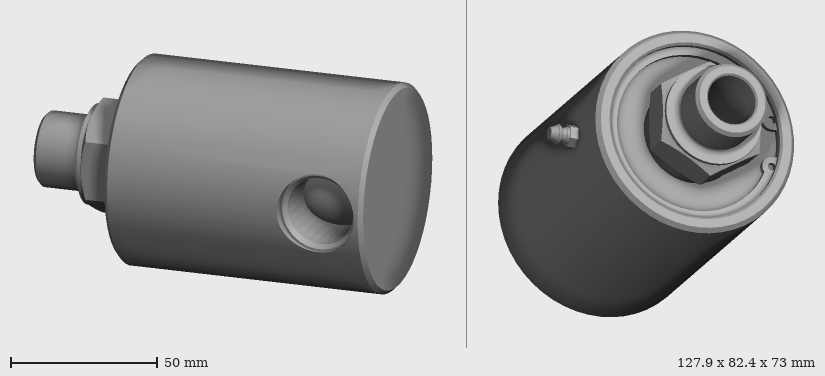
import cadquery as cq
import math

total_length = 127.9
body_start = 33.9
body_diameter = 73.0
body_chamfer = 1.5

recess_diameter = 62.1
recess_mouth_diameter = 63.7
recess_depth = 4.5

ring_thickness = 2.0
ring_inner_diameter = 56.3
ring_groove_diameter = 66.9
ear_radius = 3.5
ear_hole_diameter = 2.79
ear_center_y = -28.7
ear_center_z = 8.47

thread_diameter = 26.44
thread_end = 14.8
thread_chamfer = 1.2
neck_cone_length = 0.75
collar_start = 17.4
collar_diameter = 34.9
shank_diameter = 35.0
hex_start = 19.0
hex_end = 32.6
hex_across_flats = 36.0
hex_chamfer_angle = 30.0
bore_diameter = 17.5
bore_mouth_diameter = 18.8
bore_mouth_depth = 0.65

port_x = 111.0
port_spotface_diameter = 28.0
port_spotface_depth = 3.8
port_mouth_diameter = 26.44
port_thread_diameter = 23.8
port_mouth_depth = 1.6
port_end_diameter = 22.63
rotor_diameter = 32.0

nipple_x = 54.7
nipple_reach = 45.88
nipple_hex_across_flats = 6.9
nipple_hex_top = 39.3
nipple_seat_depth = 1.5
nipple_collar_diameter = 6.0
nipple_collar_top = 40.1
nipple_neck_diameter = 5.0
nipple_neck_end_diameter = 5.8
nipple_neck_top = 42.1
nipple_head_lower_y = 42.35
nipple_head_diameter = 7.1
nipple_head_y = 42.85
nipple_cone_diameter = 6.33
nipple_cone_start = 43.35
nipple_tip_diameter = 4.3

body_radius = body_diameter / 2
cover_x = body_start + recess_depth
ring_x = cover_x - ring_thickness


def disc(diameter, start, end):
    """Cylinder on the X axis between two stations."""
    return cq.Workplane("YZ").workplane(offset=start).circle(diameter / 2).extrude(end - start)


def cone(start_diameter, end_diameter, start, end):
    """Frustum on the X axis between two stations."""
    outline = [(start, 0), (start, start_diameter / 2), (end, end_diameter / 2), (end, 0)]
    return cq.Workplane("XY").polyline(outline).close().revolve(360, (0, 0, 0), (1, 0, 0))


def hexagon(plane, across_flats, length):
    """Hexagonal prism with two corners on the local x axis of its plane."""
    corner_diameter = across_flats / math.cos(math.pi / 6)
    return cq.Workplane(plane).polygon(6, corner_diameter).extrude(length)


def make_body():
    end_radius = body_radius - body_chamfer
    outline = [
        (body_start, 0),
        (body_start, end_radius),
        (body_start + body_chamfer, body_radius),
        (total_length - body_chamfer, body_radius),
        (total_length, end_radius),
        (total_length, 0),
    ]
    body = cq.Workplane("XY").polyline(outline).close().revolve(360, (0, 0, 0), (1, 0, 0))
    mouth_depth = (recess_mouth_diameter - recess_diameter) / 2
    mouth = cone(recess_mouth_diameter, recess_diameter, body_start, body_start + mouth_depth)
    return body.cut(disc(recess_diameter, body_start, cover_x)).cut(mouth)


def make_retaining_ring():
    ring = disc(ring_groove_diameter, ring_x, cover_x).cut(disc(ring_inner_diameter, ring_x, cover_x))
    gap_half_height = ear_center_z - ear_radius
    plane = cq.Workplane("YZ").workplane(offset=ring_x)
    gap = plane.center(-body_radius, 0).rect(body_diameter, 2 * ear_center_z).extrude(ring_thickness)
    ring = ring.cut(gap)
    outer_limit = disc(ring_groove_diameter, ring_x, cover_x)
    for side in (-1, 1):
        ear = plane.center(ear_center_y, side * ear_center_z).circle(ear_radius).extrude(ring_thickness)
        strip_middle = side * (gap_half_height + ear_radius / 2)
        strip = (
            plane.center(ear_center_y - body_radius / 2, strip_middle)
            .rect(body_radius, ear_radius)
            .extrude(ring_thickness)
        )
        hole = plane.center(ear_center_y, side * ear_center_z).circle(ear_hole_diameter / 2)
        ring = ring.union(ear.union(strip).intersect(outer_limit)).cut(hole.extrude(ring_thickness))
    return ring


def make_rotor_end():
    thread_radius = thread_diameter / 2
    cone_end = thread_end + neck_cone_length
    cone_end_radius = thread_radius - neck_cone_length
    half_root = math.sqrt(0.5)
    arc_radius = (collar_start - cone_end) / (1 + half_root)
    arc_center_x = collar_start - arc_radius
    arc_center_height = cone_end_radius + half_root * arc_radius
    arc_bottom = (arc_center_x, arc_center_height - arc_radius)
    profile = (
        cq.Workplane("XY")
        .moveTo(0, 0)
        .lineTo(0, thread_radius - thread_chamfer)
        .lineTo(thread_chamfer, thread_radius)
        .lineTo(thread_end, thread_radius)
        .lineTo(cone_end, cone_end_radius)
        .threePointArc(arc_bottom, (collar_start, arc_center_height))
        .lineTo(collar_start, collar_diameter / 2)
        .lineTo(hex_start, collar_diameter / 2)
        .lineTo(hex_start, shank_diameter / 2)
        .lineTo(cover_x, shank_diameter / 2)
        .lineTo(cover_x, 0)
        .close()
    )
    spigot = profile.revolve(360, (0, 0, 0), (1, 0, 0))
    return spigot.union(make_chamfered_nut())


def make_chamfered_nut():
    nut = hexagon("YZ", hex_across_flats, hex_end - hex_start)
    nut = nut.rotate((0, 0, 0), (1, 0, 0), 90).translate((hex_start, 0, 0))
    tip_radius = hex_across_flats / math.sqrt(3)
    base_radius = shank_diameter / 2
    chamfer_length = (tip_radius - base_radius) * math.tan(math.radians(hex_chamfer_angle))
    outline = [
        (hex_start, 0),
        (hex_start, base_radius),
        (hex_start + chamfer_length, tip_radius),
        (hex_end - chamfer_length, tip_radius),
        (hex_end, base_radius),
        (hex_end, 0),
    ]
    envelope = cq.Workplane("XY").polyline(outline).close().revolve(360, (0, 0, 0), (1, 0, 0))
    return nut.intersect(envelope)


def make_bore():
    mouth = cone(bore_mouth_diameter, bore_diameter, 0, bore_mouth_depth)
    return disc(bore_diameter, 0, port_x).union(mouth)


def make_port():
    """Stepped, tapering port cavity whose floor is the round outside of the rotor."""
    spotface_y = -(body_radius - port_spotface_depth)
    thread_y = spotface_y + port_mouth_depth
    end_radius = port_end_diameter / 2
    end_y = -math.sqrt((rotor_diameter / 2) ** 2 - end_radius**2)
    outline = [
        (0, -body_radius),
        (port_spotface_diameter / 2, -body_radius),
        (port_spotface_diameter / 2, spotface_y),
        (port_mouth_diameter / 2, spotface_y),
        (port_thread_diameter / 2, thread_y),
        (end_radius, end_y),
        (0, end_y),
    ]
    cavity = cq.Workplane("XY").polyline(outline).close().revolve(360, (0, 0, 0), (0, 1, 0))
    return cavity.translate((port_x, 0, 0)).cut(disc(rotor_diameter, body_start, total_length))


def make_nipple():
    base_y = body_radius - nipple_seat_depth
    neck_middle_y = (nipple_collar_top + nipple_neck_top) / 2
    profile = (
        cq.Workplane("XY")
        .moveTo(0, base_y)
        .lineTo(nipple_collar_diameter / 2, base_y)
        .lineTo(nipple_collar_diameter / 2, nipple_collar_top)
        .lineTo(nipple_neck_end_diameter / 2, nipple_collar_top)
        .threePointArc(
            (nipple_neck_diameter / 2, neck_middle_y),
            (nipple_neck_end_diameter / 2, nipple_neck_top),
        )
        .lineTo(nipple_cone_diameter / 2, nipple_head_lower_y)
        .threePointArc(
            (nipple_head_diameter / 2, nipple_head_y),
            (nipple_cone_diameter / 2, nipple_cone_start),
        )
        .lineTo(nipple_tip_diameter / 2, nipple_reach)
        .lineTo(0, nipple_reach)
        .close()
    )
    stem = profile.revolve(360, (0, 0, 0), (0, 1, 0))
    nut = hexagon("XZ", nipple_hex_across_flats, base_y - nipple_hex_top)
    nut = nut.rotate((0, 0, 0), (0, 1, 0), 90).translate((0, base_y, 0))
    return stem.union(nut).translate((nipple_x, 0, 0))


result = make_body().union(make_retaining_ring()).union(make_rotor_end()).union(make_nipple())
result = result.cut(make_bore()).cut(make_port())